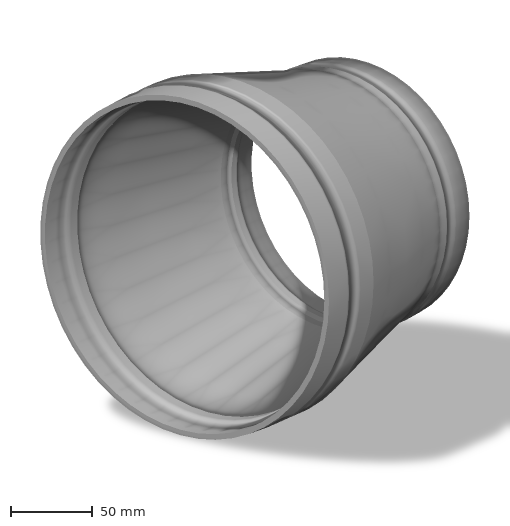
import cadquery as cq
import math

length = 179.8
end_taper = 1.8
mouth_flare = 0.9

large_collar_diameter = 220.0
large_end_diameter = large_collar_diameter - end_taper
large_mouth_diameter = 211.3
large_groove_diameter = 212.1
large_bead_diameter = 205.3
large_collar_length = 45.0
large_groove_start = 22.2
large_groove_end = 27.3
large_bead_start = 22.5
large_bead_end = 29.3

small_collar_diameter = 169.2
small_end_diameter = small_collar_diameter - end_taper
small_mouth_diameter = 162.2
small_groove_diameter = 163.3
small_bead_diameter = 157.3
small_collar_length = 31.7
small_groove_start = 20.0
small_groove_end = 21.1
small_bead_start = 19.5
small_bead_end = 24.0

large_shoulder_round = (large_collar_diameter - large_groove_diameter) / 2
small_shoulder_round = 4.0
inner_shoulder_round = 1.8
large_root_round = 1.0
small_root_round = 1.5
large_bead_root_round = 7.0
large_bead_crest_round = 4.5
small_bead_root_round = 5.3
small_bead_crest_round = 3.5
groove_flank_angle = 60
bead_flank_angle = 45
bead_back_angle = 60


def flank(wall_radius, floor_radius, floor_edge, wall_round, floor_round, angle, outward):
    """Points of a rounded step from a pipe wall down to a groove floor or bead crest.

    Returned as (radius, distance): wall tangent point, two ends of the straight
    flank, floor tangent point. outward is -1 if the wall lies at a smaller distance
    from the end face than the floor, and +1 if it lies at a larger one.
    """
    sine = math.sin(math.radians(angle))
    drop = 1 - math.cos(math.radians(angle))
    upper_radius = wall_radius - wall_round * drop
    lower_radius = floor_radius + floor_round * drop
    lower = floor_edge + outward * floor_round * sine
    upper = lower + outward * (upper_radius - lower_radius) / math.tan(math.radians(angle))
    wall = upper + outward * wall_round * sine
    return [(wall_radius, wall), (upper_radius, upper), (lower_radius, lower), (floor_radius, floor_edge)]


def add_flank(path, points):
    """Draw a flank: straight run to it, rounding, straight flank, rounding."""
    return (
        path.lineTo(*points[0])
        .tangentArcPoint(points[1], relative=False)
        .lineTo(*points[2])
        .tangentArcPoint(points[3], relative=False)
    )


def from_small_end(points):
    """Turn distances from the small end face into positions along Y."""
    return [(radius, length - distance) for radius, distance in points]


def revolve_profile(path):
    return path.close().revolve(360, (0, 0, 0), (0, 1, 0))


def outer_body():
    large_radius = large_collar_diameter / 2
    small_radius = small_collar_diameter / 2
    large_floor = large_groove_diameter / 2
    small_floor = small_groove_diameter / 2
    large_inner_flank = flank(large_radius, large_floor, large_groove_end,
                              inner_shoulder_round, large_root_round, groove_flank_angle, 1)
    small_inner_flank = flank(small_radius, small_floor, small_groove_end,
                              inner_shoulder_round, small_root_round, groove_flank_angle, 1)
    small_end_flank = flank(small_radius, small_floor, small_groove_start,
                            small_shoulder_round, small_root_round, groove_flank_angle, -1)

    path = cq.Workplane("XY").lineTo(large_end_diameter / 2, 0)
    path = path.lineTo(large_radius, large_groove_start - large_shoulder_round)
    path = path.tangentArcPoint((large_floor, large_groove_start), relative=False)
    path = add_flank(path, large_inner_flank[::-1])
    path = path.lineTo(large_radius, large_collar_length)
    path = path.lineTo(small_radius, length - small_collar_length)
    path = add_flank(path, from_small_end(small_inner_flank))
    path = add_flank(path, from_small_end(small_end_flank)[::-1])
    path = path.lineTo(small_end_diameter / 2, length).lineTo(0, length)
    return revolve_profile(path)


def bore():
    large_radius = (large_mouth_diameter + mouth_flare) / 2
    small_radius = (small_mouth_diameter + mouth_flare) / 2
    large_crest = large_bead_diameter / 2
    small_crest = small_bead_diameter / 2
    back_slope = math.tan(math.radians(bead_back_angle))
    large_cone_radius = large_mouth_diameter / 2
    small_cone_radius = small_mouth_diameter / 2
    large_back_end = large_bead_end + (large_cone_radius - large_crest) / back_slope
    small_back_end = small_bead_end + (small_cone_radius - small_crest) / back_slope
    large_flank = flank(large_radius, large_crest, large_bead_start,
                        large_bead_root_round, large_bead_crest_round, bead_flank_angle, -1)
    small_flank = flank(small_radius, small_crest, small_bead_start,
                        small_bead_root_round, small_bead_crest_round, bead_flank_angle, -1)

    path = cq.Workplane("XY").lineTo(large_mouth_diameter / 2, 0)
    path = add_flank(path, large_flank)
    path = path.lineTo(large_crest, large_bead_end)
    path = path.lineTo(large_cone_radius, large_back_end)
    path = path.lineTo(small_cone_radius, length - small_collar_length)
    path = path.lineTo(small_cone_radius, length - small_back_end)
    path = path.lineTo(small_crest, length - small_bead_end)
    path = add_flank(path, from_small_end(small_flank)[::-1])
    path = path.lineTo(small_mouth_diameter / 2, length).lineTo(0, length)
    return revolve_profile(path)


result = outer_body().cut(bore())